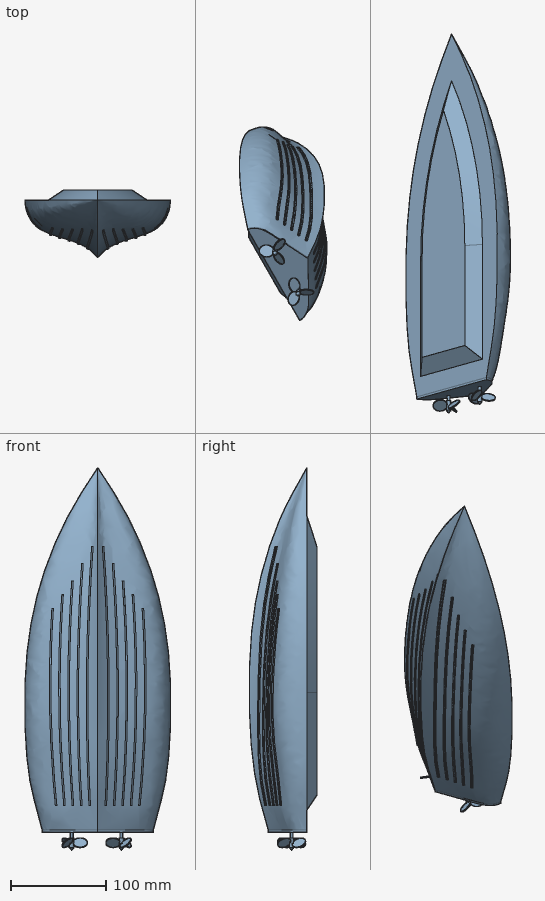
import cadquery as cq
import math


HULL_LENGTH = 384.0
BEAM = 154.2
HALF_BEAM = BEAM / 2
BEAM_STATION = 133.0
TRANSOM_BEAM_LOSS = 0.24
HULL_DEPTH = 61.0
DEPTH_STATION = 149.0
TRANSOM_DEPTH_LOSS = 0.33
BEAM_TAPER_POWER = 2.3
DEPTH_TAPER_POWER = 2.4
TRANSOM_THICKNESS = 2.5
BOW_TIP_LENGTH = 0.5
BODY_STATIONS = 10

SECTION_WIDTHS = [0.13, 0.35, 0.66, 0.88, 0.97]
TRANSOM_DEPTHS = [0.91, 0.75, 0.52, 0.33, 0.17]
MIDSHIP_DEPTHS = [0.84, 0.71, 0.59, 0.41, 0.20]
BOW_DEPTHS = [0.77, 0.60, 0.49, 0.33, 0.17]

RAIL_COUNT = 5
RAIL_WIDTH = 1.5
RAIL_HEIGHT = 1.2
RAIL_AFT_Z = 28.5
RAIL_MIDDLE_Z = 133.0
RAIL_FRONT_Z = [301.2, 283.0, 265.0, 250.5, 236.0]
RAIL_AFT_X, RAIL_AFT_PITCH = 8.5, 9.0
RAIL_MIDDLE_X, RAIL_MIDDLE_PITCH = 11.3, 9.5
RAIL_FRONT_X, RAIL_FRONT_PITCH = 5.5, 10.5

CABIN_HEIGHT = 11.0
CABIN_INSET = 16.0
CABIN_HALF_WIDTH = 52.0
CABIN_STERN_Z = 23.5
CABIN_SHOULDER_Z = 147.5
CABIN_BOW_Z = 333.5

SHAFT_X = [-27.5, 25.0]
SHAFT_DEPTH = 16.0
SHAFT_RADIUS = 1.5
SHAFT_LENGTH = 5.5
HUB_RADIUS = 2.5
HUB_LENGTH = 10.5
PROPELLER_LENGTH = 13.3
BLADE_COUNT = 3
BLADE_TIP_RADIUS = 16.5
BLADE_ROOT_RADIUS = 1.2
BLADE_CHORD = 13.5
BLADE_THICKNESS = 1.2
BLADE_PITCH = -45.0


def end_distance(z, widest_z):
    """Distance from the widest station as a share of the way to the bow or the transom."""
    if z > widest_z:
        return (z - widest_z) / (HULL_LENGTH - widest_z)
    return (widest_z - z) / (widest_z - TRANSOM_THICKNESS)


def tapered(largest, z, widest_z, transom_loss, power):
    """Hull width or depth at station z."""
    loss = 1.0 if z > widest_z else transom_loss
    return largest * (1 - loss * end_distance(z, widest_z) ** power)


def hull_section(z):
    """Closed cross section of the hull at station z."""
    half_beam = tapered(HALF_BEAM, z, BEAM_STATION, TRANSOM_BEAM_LOSS, BEAM_TAPER_POWER)
    depth = tapered(HULL_DEPTH, z, DEPTH_STATION, TRANSOM_DEPTH_LOSS, DEPTH_TAPER_POWER)
    blend = end_distance(z, BEAM_STATION)
    end_depths = BOW_DEPTHS if z > BEAM_STATION else TRANSOM_DEPTHS
    side = [(0, -depth)]
    for width, middle, end in zip(SECTION_WIDTHS, MIDSHIP_DEPTHS, end_depths):
        side.append((width * half_beam, -depth * (middle + blend * (end - middle))))
    side.append((half_beam, 0))
    starboard = cq.Edge.makeSpline([cq.Vector(x, y, z) for x, y in side])
    port = cq.Edge.makeSpline([cq.Vector(-x, y, z) for x, y in side])
    deck = cq.Edge.makeLine(cq.Vector(-half_beam, 0, z), cq.Vector(half_beam, 0, z))
    return cq.Wire.assembleEdges([starboard, deck, port])


def make_bare_hull():
    """Lofted hull body with the straight strip at the transom."""
    span = HULL_LENGTH - BOW_TIP_LENGTH - TRANSOM_THICKNESS
    stations = [TRANSOM_THICKNESS + span * i / (BODY_STATIONS - 1) for i in range(BODY_STATIONS)]
    body = cq.Workplane(cq.Solid.makeLoft([hull_section(z) for z in stations]))
    strip_face = cq.Face.makeFromWires(hull_section(TRANSOM_THICKNESS))
    strip = cq.Solid.extrudeLinear(strip_face, cq.Vector(0, 0, -TRANSOM_THICKNESS))
    return body.union(cq.Workplane(strip), clean=False)


def make_rail_band(index, side):
    """Upright curved band along one rail, wide as the rail and deeper than the hull."""
    aft_x = RAIL_AFT_X + index * RAIL_AFT_PITCH
    middle_x = RAIL_MIDDLE_X + index * RAIL_MIDDLE_PITCH
    front_x = RAIL_FRONT_X + index * RAIL_FRONT_PITCH
    front_z = RAIL_FRONT_Z[index]
    half = RAIL_WIDTH / 2

    def at(x, z):
        return (side * x, z)

    return (
        cq.Workplane("XZ")
        .moveTo(*at(aft_x - half, RAIL_AFT_Z))
        .threePointArc(at(middle_x - half, RAIL_MIDDLE_Z), at(front_x - half, front_z))
        .lineTo(*at(front_x + half, front_z))
        .threePointArc(at(middle_x + half, RAIL_MIDDLE_Z), at(aft_x + half, RAIL_AFT_Z))
        .close()
        .extrude(HULL_DEPTH + RAIL_HEIGHT)
    )


def make_hull():
    """Hull with its spray rails."""
    bare_hull = make_bare_hull()
    lowered_hull = bare_hull.translate((0, -RAIL_HEIGHT, 0))
    bands = [make_rail_band(index, side).val() for index in range(RAIL_COUNT) for side in (-1, 1)]
    rails = lowered_hull.intersect(cq.Workplane(cq.Compound.makeCompound(bands)), clean=False)
    return bare_hull.union(rails, clean=False)


def make_cabin():
    """Low cabin with a pointed bow, straight sides and leaning walls."""
    bow_length = CABIN_BOW_Z - CABIN_SHOULDER_Z
    bow_radius = (bow_length**2 + CABIN_HALF_WIDTH**2) / (2 * CABIN_HALF_WIDTH)
    half_angle = math.asin(bow_length / bow_radius) / 2
    mid_x = CABIN_HALF_WIDTH - bow_radius * (1 - math.cos(half_angle))
    mid_z = CABIN_SHOULDER_Z + bow_radius * math.sin(half_angle)
    lean = math.degrees(math.atan(CABIN_INSET / CABIN_HEIGHT))
    return (
        cq.Workplane("XZ")
        .moveTo(-CABIN_HALF_WIDTH, CABIN_STERN_Z)
        .lineTo(CABIN_HALF_WIDTH, CABIN_STERN_Z)
        .lineTo(CABIN_HALF_WIDTH, CABIN_SHOULDER_Z)
        .threePointArc((mid_x, mid_z), (0, CABIN_BOW_Z))
        .threePointArc((-mid_x, mid_z), (-CABIN_HALF_WIDTH, CABIN_SHOULDER_Z))
        .close()
        .extrude(-CABIN_HEIGHT, taper=lean)
    )


def make_shaft(x):
    """Propeller shaft standing out of the transom."""
    return (
        cq.Workplane("XY")
        .center(x, -SHAFT_DEPTH)
        .circle(SHAFT_RADIUS)
        .extrude(-SHAFT_LENGTH)
    )


def make_propeller(x):
    """Three-bladed propeller; one blade points towards the middle of the boat."""
    propeller = (
        cq.Workplane("XZ")
        .lineTo(HUB_RADIUS, 0)
        .lineTo(HUB_RADIUS, -HUB_LENGTH)
        .lineTo(0, -PROPELLER_LENGTH)
        .close()
        .revolve(360, (0, 0, 0), (0, 1, 0))
    )
    blade = (
        cq.Workplane("XZ")
        .center((BLADE_ROOT_RADIUS + BLADE_TIP_RADIUS) / 2, 0)
        .ellipse((BLADE_TIP_RADIUS - BLADE_ROOT_RADIUS) / 2, BLADE_CHORD / 2)
        .extrude(BLADE_THICKNESS / 2, both=True)
        .rotate((0, 0, 0), (1, 0, 0), BLADE_PITCH)
        .translate((0, 0, -HUB_LENGTH / 2))
    )
    for index in range(BLADE_COUNT):
        propeller = propeller.union(blade.rotate((0, 0, 0), (0, 0, 1), index * 360 / BLADE_COUNT))
    if x > 0:
        propeller = propeller.rotate((0, 0, 0), (0, 0, 1), 180)
    return propeller.translate((x, -SHAFT_DEPTH, -SHAFT_LENGTH))


hull = make_hull()
cabin = make_cabin()
shafts = [make_shaft(x) for x in SHAFT_X]
propellers = [make_propeller(x) for x in SHAFT_X]

result = cq.Compound.makeCompound(
    [hull.solids().val(), cabin.solids().val()]
    + [shaft.solids().val() for shaft in shafts]
    + [propeller.solids().val() for propeller in propellers]
)